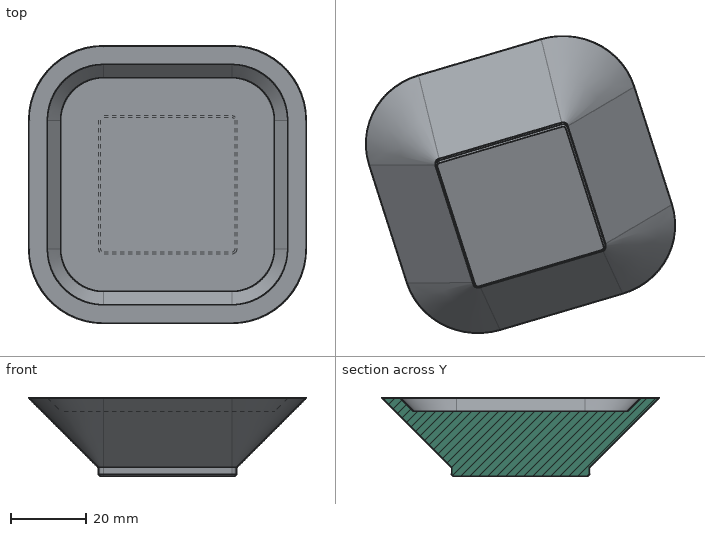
import cadquery as cq

rim_width = 73.7
total_height = 20.85
rim_radius = 19.8

foot_width = 36.7
foot_height = 2.35
foot_chamfer = 0.5

rim_land = 4.95
pocket_depth = 3.55

straight_length = rim_width - 2 * rim_radius


def rounded_square(width, z):
    """Rounded square sketch at height z, concentric with the rim outline."""
    corner_radius = (width - straight_length) / 2
    outline = cq.Sketch().rect(width, width).vertices().fillet(corner_radius)
    return outline.moved(cq.Location(cq.Vector(0, 0, z)))


def flared_solid(bottom_width, bottom_z, top_width, top_z):
    """Solid with straight sloping sides between two rounded squares."""
    bottom = rounded_square(bottom_width, bottom_z)
    top = rounded_square(top_width, top_z)
    return cq.Workplane("XY").placeSketch(bottom, top).loft(ruled=True)


chamfer_base = flared_solid(foot_width - 2 * foot_chamfer, 0, foot_width, foot_chamfer)
foot_band = flared_solid(foot_width, foot_chamfer, foot_width, foot_height)

body = flared_solid(foot_width, foot_height, rim_width, total_height)

pocket_width = rim_width - 2 * rim_land
floor_width = pocket_width - 2 * pocket_depth
pocket = flared_solid(floor_width, total_height - pocket_depth, pocket_width, total_height)

result = chamfer_base.union(foot_band).union(body).cut(pocket)